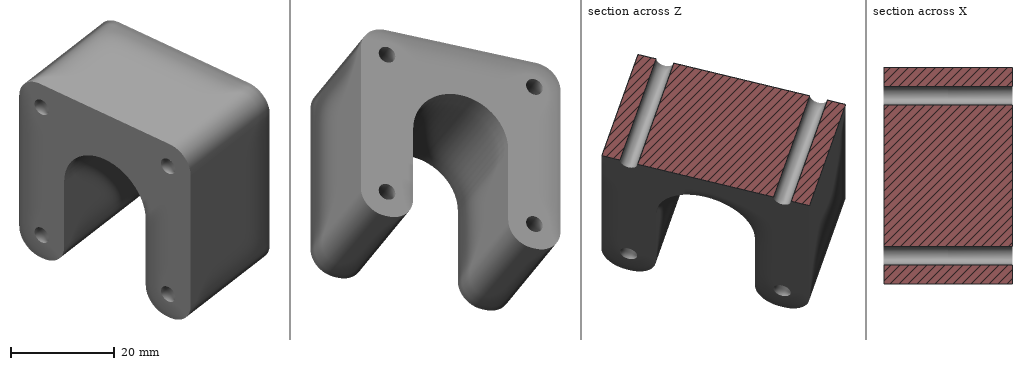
import cadquery as cq

side = 42.0
depth = 25.0
corner_radius = 5.12
slot_width = 20.0
hole_spacing = 31.0
hole_diameter = 3.5

half_side = side / 2
slot_radius = slot_width / 2


def make_slot():
    """Opening with its round end centred on the block, running out through the bottom."""
    return (
        cq.Workplane("XZ")
        .moveTo(-slot_radius, -half_side)
        .lineTo(-slot_radius, 0)
        .threePointArc((0, slot_radius), (slot_radius, 0))
        .lineTo(slot_radius, -half_side)
        .close()
        .extrude(depth / 2, both=True)
    )


def make_mounting_holes():
    """Four through holes on a square pattern."""
    return (
        cq.Workplane("XZ")
        .rect(hole_spacing, hole_spacing, forConstruction=True)
        .vertices()
        .circle(hole_diameter / 2)
        .extrude(depth / 2, both=True)
    )


block = cq.Workplane("XZ").rect(side, side).extrude(depth / 2, both=True)
body = block.cut(make_slot())
body = body.faces("<Z or >Z").edges("|Y").fillet(corner_radius)

result = body.cut(make_mounting_holes())